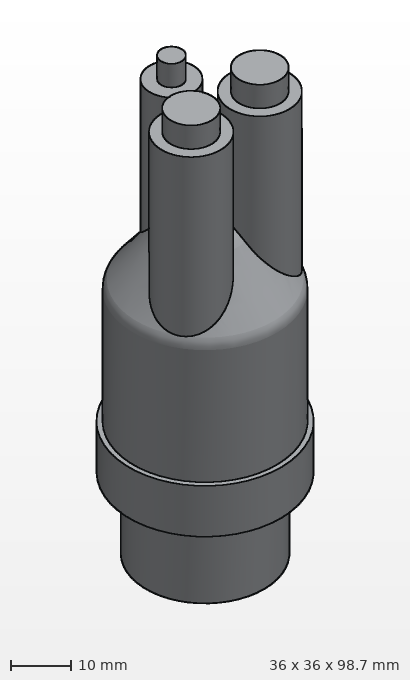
import cadquery as cq
import math

collar_bottom = 16.8
collar_height = 10.5
collar_top = collar_bottom + collar_height
shoulder_end = 54.6
sheath_top = 93.8
core_top = 98.7

stub_radius = 14.0
collar_radius = 18.0
body_radius = 17.0
cone_half_angle = math.radians(37.5)
shoulder_round = 3.4
nose_radius = 10.0

power_sheath_radius = 7.0
power_core_radius = 4.8
power_x = 4.8
power_y = 8.0
pilot_sheath_radius = 5.15
pilot_core_radius = 2.4
pilot_x = -7.9


def arc_point(center_r, center_z, radius, elevation):
    """Point on an arc in the (radius, height) half plane, at an angle above horizontal."""
    return (center_r + radius * math.cos(elevation), center_z + radius * math.sin(elevation))


def make_housing():
    """Stub, collar, body and cone with rounded shoulder and spherical nose, as one revolve."""
    shoulder_center = (body_radius - shoulder_round, shoulder_end)
    shoulder_mid = arc_point(*shoulder_center, shoulder_round, cone_half_angle / 2)
    cone_bottom = arc_point(*shoulder_center, shoulder_round, cone_half_angle)

    cone_top_r = nose_radius * math.cos(cone_half_angle)
    cone_top_z = cone_bottom[1] + (cone_bottom[0] - cone_top_r) / math.tan(cone_half_angle)
    nose_center = (0, cone_top_z - nose_radius * math.sin(cone_half_angle))
    nose_mid = arc_point(*nose_center, nose_radius, (cone_half_angle + math.pi / 2) / 2)
    nose_tip = (0, nose_center[1] + nose_radius)

    profile = (
        cq.Workplane("XZ")
        .moveTo(0, 0)
        .lineTo(stub_radius, 0)
        .lineTo(stub_radius, collar_bottom)
        .lineTo(collar_radius, collar_bottom)
        .lineTo(collar_radius, collar_top)
        .lineTo(body_radius, collar_top)
        .lineTo(body_radius, shoulder_end)
        .threePointArc(shoulder_mid, cone_bottom)
        .lineTo(cone_top_r, cone_top_z)
        .threePointArc(nose_mid, nose_tip)
        .close()
    )
    return profile.revolve(360, (0, 0, 0), (0, 1, 0))


def make_cable(x, y, sheath_radius, core_radius):
    """Vertical cable rooted inside the body, with its core bared at the top."""
    sheath = (
        cq.Workplane("XY", origin=(x, y, shoulder_end))
        .circle(sheath_radius)
        .extrude(sheath_top - shoulder_end)
    )
    core = (
        cq.Workplane("XY", origin=(x, y, sheath_top))
        .circle(core_radius)
        .extrude(core_top - sheath_top)
    )
    return sheath.union(core)


result = make_housing()
for side in (-1, 1):
    result = result.union(make_cable(power_x, side * power_y, power_sheath_radius, power_core_radius))
result = result.union(make_cable(pilot_x, 0, pilot_sheath_radius, pilot_core_radius))